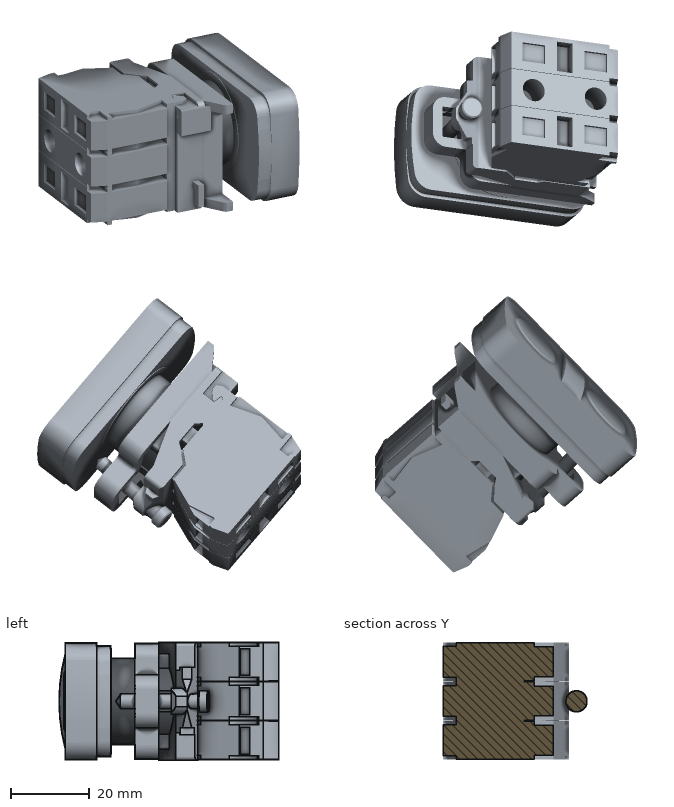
import cadquery as cq
import math


overall_height = 30.0

head_half_width = 24.75
cap_half_height = 14.85
cap_side_z = 10.45
cap_side_x = 24.15
corner_start_x = 19.25
flange_half_height = 14.1
flange_side_z = 10.3
flange_side_x = 23.75
flange_half_width = 24.7
flange_bulge_x = 24.25
flange_bulge_z = 6.9
cap_top_y = 26.4
flange_top_y = 18.4
flange_bottom_y = 14.8
seat_diameter = 26.8
seat_bottom_y = 14.65
barrel_diameter = 22.0
lens_half_width = 3.5
lens_half_length = 11.95
lens_top_y = 27.95
button_x = 13.15
button_base_diameter = 15.5
button_top_diameter = 13.65
button_rise = 0.35

plate_top_y = 8.65
plate_bottom_y = 2.55
plate_half_height = 14.7
plate_left_x = -13.85
plate_right_x = 16.5
plate_corner_radius = 3.6
tab_left_x = -23.75
tab_half_height = 6.7
tab_inner_radius = 0.95
tab_slot_left_x = -21.2
tab_slot_right_x = -14.65
tab_slot_half_height = 4.1
tab_slot_radius = 0.45
arm_end_x = 22.35
arm_nose_y = 6.75
arm_nose_chamfer = 0.55
arm_thickness = 2.45
arm_root_y = 2.75

cavity_depth = 3.2
cavity_left_x = -11.2
cavity_half_height = 11.7
cavity_flare_x = -12.3
cavity_flare_half_height = 5.05

collar_diameter = 22.9
collar_key_x = -11.5
collar_key_half_height = 2.7
shoulder_x = -7.75
shoulder_half_height = 12.15
shoulder_radius = 0.55

carrier_half_height = overall_height / 2
carrier_left_x = -16.45
carrier_right_x = 16.6
carrier_shelf_y = -1.75
carrier_bottom_y = -7.25
carrier_slope_start_x = -0.2
carrier_slope_end_x = -12.5
carrier_edge_radius = 1.0
clip_relief_half_height = 7.95
clip_relief_x = -14.55
clip_tip_x = -19.7
clip_tip_y = -4.7
clip_tip_top_y = -4.35
clip_foot_x = -15.25
carrier_step = [(-7.55, carrier_bottom_y), (-4.45, -4.15)]
ear_left_x = 11.2
ear_right_x = 18.6
ear_bottom_z = 6.9
ear_top_y = 4.2
ear_bottom_y = -4.25
ear_radius = 1.5
ear_hole_diameter = 1.5
ear_hole_x = 16.1
ear_hole_z = 11.55
ear_step_z = 14.05
lever_top_y = 1.5
lever_bottom_y = -0.05
lever_right_x = 20.0

boss_left_x = -20.4
boss_round_x = -17.4
boss_right_x = -11.2
boss_half_height = 3.3
boss_top_y = -0.6
boss_bottom_y = -4.7
boss_chamfer = 1.1
screw_diameter = 3.8
screw_head_diameter = 5.5
screw_head_length = 2.7
screw_head_chamfer = 0.35
screw_length = 23.7
screw_point_length = 1.25
screw_tilt = 4.5
screw_tip_x = -16.2
screw_tip_y = 13.45

module_count = 3
module_height = 9.95
block_half_width = 16.0
block_bottom_y = -27.95
block_bottom_half_width = 14.65
block_chamfer_y = -23.9
block_slope_y = -17.9
hook_left_x = 10.4
hook_right_x = 15.2
hook_root_y = -2.8
hook = [(hook_left_x, hook_root_y), (12.75, -0.5), (14.3, -0.5), (hook_right_x, -1.95)]
recess_top_y = 0.7
slit_width = 0.1
seam_width = 0.1
seam_depth = 2.55
notch_depth = 1.0
gap_depth = 1.1
gap_left_x = -12.3
gap_bottom_y = -8.05
pocket_pitch = 10.0
terminal_x = 8.5
terminal_width = 6.25
terminal_height = 5.0
terminal_depth = 0.85
center_slot_width = 4.25
center_slot_height = 7.95
center_slot_depth = 3.25
screw_hole_diameter = 6.0
screw_hole_depth = 8.4
side_window_top_y = -18.15
side_window_bottom_y = -20.55
side_window_height = 6.8
side_window_depth = 2.25
window_top_y = -2.7
window_bottom_y = -4.7
rib_half_width = 2.1
rib_recess = 1.3

block_top_z = carrier_half_height
module_faces = [block_top_z - i * module_height for i in range(module_count + 1)]
block_bottom_z = module_faces[-1]


def span(x0, x1, y0, y1, z0, z1):
    """Axis-aligned box between two corners."""
    return cq.Workplane("XY").box(x1 - x0, y1 - y0, z1 - z0, centered=False).translate((x0, y0, z0))


def plan_prism(points, z0, z1):
    """Prism of an XY outline from z0 up to z1."""
    return cq.Workplane("XY", origin=(0, 0, z0)).polyline(points).close().extrude(z1 - z0)


def facing(y):
    """Sketch plane across the barrel axis; it extrudes toward -Y."""
    return cq.Workplane("XZ", origin=(0, y, 0))


def corner_arc_middle(half_height, side_x, side_z):
    """Middle point of the corner arc that leaves the top edge tangentially."""
    run = side_x - corner_start_x
    drop = half_height - side_z
    radius = (run**2 + drop**2) / (2 * drop)
    half_angle = math.atan2(drop, run)
    return (
        corner_start_x + radius * math.sin(half_angle),
        half_height - radius * (1 - math.cos(half_angle)),
    )


def head_outline(y, half_height, crown_x, side_points):
    """Outline with bulged sides and round corners.

    side_points run from the end of a side's bulge to the start of its corner arc, which are the
    same point where no straight run lies between them.
    """
    mid_x, mid_z = corner_arc_middle(half_height, *side_points[-1])

    def straight_run(outline, x_sign, points):
        for x, z in points:
            outline = outline.lineTo(x_sign * x, z)
        return outline

    lower_points = [(x, -z) for x, z in side_points]
    bulge_x, bulge_z = side_points[0]
    side_x, side_z = side_points[-1]
    outline = facing(y).moveTo(-corner_start_x, half_height).lineTo(corner_start_x, half_height)
    outline = outline.threePointArc((mid_x, mid_z), (side_x, side_z))
    outline = straight_run(outline, 1, side_points[:-1][::-1])
    outline = outline.threePointArc((crown_x, 0), (bulge_x, -bulge_z))
    outline = straight_run(outline, 1, lower_points[1:])
    outline = outline.threePointArc((mid_x, -mid_z), (corner_start_x, -half_height))
    outline = outline.lineTo(-corner_start_x, -half_height)
    outline = outline.threePointArc((-mid_x, -mid_z), (-side_x, -side_z))
    outline = straight_run(outline, -1, lower_points[:-1][::-1])
    outline = outline.threePointArc((-crown_x, 0), (-bulge_x, bulge_z))
    outline = straight_run(outline, -1, side_points[1:])
    return outline.threePointArc((-mid_x, mid_z), (-corner_start_x, half_height)).close()


def make_lens():
    """Domed bar between the two buttons."""
    return (
        cq.Workplane("YZ", origin=(-lens_half_width, 0, 0))
        .moveTo(cap_top_y, -lens_half_length)
        .threePointArc((lens_top_y, 0), (cap_top_y, lens_half_length))
        .close()
        .extrude(2 * lens_half_width)
    )


def make_button(x):
    """Low button with a sloping rim."""
    return (
        facing(cap_top_y)
        .center(x, 0)
        .circle(button_base_diameter / 2)
        .workplane(offset=-button_rise)
        .circle(button_top_diameter / 2)
        .loft()
    )


def make_head():
    cap_side = [(cap_side_x, cap_side_z)]
    flange_side = [(flange_bulge_x, flange_bulge_z), (flange_side_x, flange_side_z)]
    cap = head_outline(cap_top_y, cap_half_height, head_half_width, cap_side)
    flange = head_outline(flange_top_y, flange_half_height, flange_half_width, flange_side)
    head = cap.extrude(cap_top_y - flange_top_y)
    head = head.union(flange.extrude(flange_top_y - flange_bottom_y))
    seat = facing(flange_bottom_y).circle(seat_diameter / 2)
    head = head.union(seat.extrude(flange_bottom_y - seat_bottom_y))
    barrel = facing(flange_bottom_y).circle(barrel_diameter / 2)
    head = head.union(barrel.extrude(flange_bottom_y - plate_bottom_y))
    head = head.union(make_lens())
    for side in (-1, 1):
        head = head.union(make_button(side * button_x))
    return head


def mirrored_outline(upper_points):
    """Closed XZ outline from its upper points, ordered from left to right."""
    return upper_points + [(x, -z) for x, z in reversed(upper_points)]


def make_cavity():
    """Hollow around the collar that flares out of the tab's slot."""
    outline = mirrored_outline(
        [
            (tab_slot_left_x, tab_slot_half_height),
            (tab_slot_right_x, tab_slot_half_height),
            (cavity_flare_x, cavity_flare_half_height),
            (cavity_left_x, cavity_half_height),
            (shoulder_x + shoulder_radius, cavity_half_height),
        ]
    )
    cavity = facing(plate_bottom_y + cavity_depth).polyline(outline).close().extrude(cavity_depth)
    return cavity.edges("|Y and <X").fillet(tab_slot_radius)


def make_tab_opening():
    """Tapered opening from the floor of the tab's slot through the plate."""
    outline = mirrored_outline([(-20.35, 3.2), (-18.65, 3.95), (tab_slot_right_x, 3.95)])
    return facing(plate_top_y).polyline(outline).close().extrude(plate_top_y - plate_bottom_y)


def make_plate():
    main = span(
        plate_left_x, plate_right_x, plate_bottom_y, plate_top_y, -plate_half_height, plate_half_height
    )
    tab = span(
        tab_left_x, plate_left_x, plate_bottom_y, plate_top_y, -tab_half_height, tab_half_height
    )
    plate = main.union(tab)
    inner_corners = cq.selectors.BoxSelector(
        (plate_left_x - 0.55, plate_bottom_y, -tab_half_height - 0.55),
        (plate_left_x + 0.55, plate_top_y, tab_half_height + 0.55),
    )
    outer_corners = cq.selectors.BoxSelector(
        (tab_left_x - 0.55, plate_bottom_y, -plate_half_height - 0.55),
        (plate_left_x + 0.55, plate_top_y, plate_half_height + 0.55),
    )
    plate = plate.edges("|Y").edges(inner_corners).fillet(tab_inner_radius)
    plate = plate.edges("|Y and (<X or (<Z or >Z))").edges(outer_corners).fillet(plate_corner_radius)
    plate = plate.cut(make_cavity()).cut(make_tab_opening())
    arm_outline = [
        (0, plate_bottom_y),
        (0, plate_top_y),
        (arm_end_x, plate_top_y),
        (arm_end_x, arm_nose_y),
        (arm_end_x - arm_nose_chamfer, arm_nose_y - arm_nose_chamfer),
        (plate_right_x, arm_root_y),
        (plate_right_x, plate_bottom_y),
    ]
    arm_inner_z = plate_half_height - arm_thickness
    plate = plate.union(plan_prism(arm_outline, arm_inner_z, plate_half_height))
    return plate.union(plan_prism(arm_outline, -plate_half_height, -arm_inner_z))


def make_collar():
    """Round collar with square shoulders that joins the plate to the carrier."""
    top_y = plate_bottom_y + cavity_depth
    collar = facing(top_y).circle(collar_diameter / 2).extrude(top_y - carrier_shelf_y)
    key = span(
        collar_key_x, 0, carrier_shelf_y, top_y, -collar_key_half_height, collar_key_half_height
    )
    shoulders = span(
        shoulder_x, 0, carrier_shelf_y, top_y, -shoulder_half_height, shoulder_half_height
    )
    return collar.union(key).union(shoulders.edges("|Y and <X").fillet(shoulder_radius))


def clip_lower_y(x):
    """Height of the slope from the carrier's bottom up to the clip's tip."""
    slope = (clip_tip_y - carrier_bottom_y) / (clip_tip_x - clip_foot_x)
    return carrier_bottom_y + slope * (x - clip_foot_x)


def make_carrier_frame():
    outline = [
        (carrier_slope_start_x, plate_bottom_y),
        (carrier_slope_end_x, carrier_shelf_y),
        (carrier_left_x, carrier_shelf_y),
        (carrier_left_x, clip_lower_y(carrier_left_x)),
        (clip_foot_x, carrier_bottom_y),
        *carrier_step,
        (carrier_right_x, ear_bottom_y),
        (carrier_right_x, plate_bottom_y),
    ]
    frame = plan_prism(outline, -carrier_half_height, carrier_half_height)
    frame = frame.faces("<X").edges("|Y").fillet(carrier_edge_radius)
    relief_outline = [
        (clip_relief_x, carrier_shelf_y),
        (clip_tip_x, clip_tip_top_y),
        (clip_tip_x, carrier_shelf_y),
    ]
    return frame.cut(plan_prism(relief_outline, -clip_relief_half_height, clip_relief_half_height))


def make_clip():
    """Wedge on the carrier's left end that narrows toward the screw."""
    wedge_outline = [
        (clip_tip_x, clip_tip_y),
        (clip_tip_x, clip_tip_top_y),
        (clip_relief_x, carrier_shelf_y),
        (clip_relief_x, carrier_bottom_y),
        (clip_foot_x, carrier_bottom_y),
    ]
    wedge = plan_prism(wedge_outline, -carrier_half_height, carrier_half_height)
    face = [
        (-14.8, 8.7),
        (-17.85, 8.7),
        (-17.85, 5.6),
        (clip_tip_x, 2.5),
        (clip_tip_x, -2.5),
        (-17.85, -6.7),
        (-16.7, -6.7),
        (-16.7, -8.55),
        (-14.8, -8.55),
    ]
    depth = carrier_shelf_y - carrier_bottom_y
    return wedge.intersect(facing(carrier_shelf_y).polyline(face).close().extrude(depth))


def make_ear():
    """Block on the carrier's right end with a rounded upper corner."""
    ear = span(ear_left_x, ear_right_x, ear_bottom_y, plate_bottom_y, ear_bottom_z, carrier_half_height)
    ear = ear.edges("|Y and >X and >Z").fillet(ear_radius)
    hole = facing(plate_bottom_y).center(ear_hole_x, ear_hole_z).circle(ear_hole_diameter / 2)
    ear = ear.cut(hole.extrude(plate_bottom_y - ear_bottom_y))
    root_top_z = carrier_half_height - ear_radius
    root = span(plate_right_x, ear_right_x, plate_bottom_y, ear_top_y, ear_bottom_z, root_top_z)
    return ear.union(root)


def make_lever():
    """L-shaped locking lever at the lower right of the carrier."""
    outline = [
        (14.0, -7.05),
        (lever_right_x, -7.05),
        (lever_right_x, -13.0),
        (18.15, -13.0),
        (18.15, -8.9),
        (14.0, -8.9),
    ]
    return facing(lever_top_y).polyline(outline).close().extrude(lever_top_y - lever_bottom_y)


def make_screw_boss():
    """Round-ended boss, cut flat at its tip, with the upper edge of the flat chamfered."""
    depth = boss_top_y - boss_bottom_y
    round_end = facing(boss_top_y).center(boss_round_x, 0).circle(boss_half_height).extrude(depth)
    bar = span(boss_round_x, boss_right_x, boss_bottom_y, boss_top_y, -boss_half_height, boss_half_height)
    side = [
        (boss_left_x, boss_bottom_y),
        (boss_left_x, boss_top_y - boss_chamfer),
        (boss_left_x + boss_chamfer, boss_top_y),
        (boss_right_x, boss_top_y),
        (boss_right_x, boss_bottom_y),
    ]
    return round_end.union(bar).intersect(plan_prism(side, -boss_half_height, boss_half_height))


def make_screw():
    """Pointed screw, revolved about Y and then tilted in the XY plane about its tip."""
    radius = screw_diameter / 2
    head_radius = screw_head_diameter / 2
    head_top = screw_head_length - screw_length
    half_profile = [
        (0, 0),
        (radius, -screw_point_length),
        (radius, head_top),
        (head_radius - screw_head_chamfer, head_top),
        (head_radius, head_top - screw_head_chamfer),
        (head_radius, screw_head_chamfer - screw_length),
        (head_radius - screw_head_chamfer, -screw_length),
        (0, -screw_length),
    ]
    screw = cq.Workplane("XY").polyline(half_profile).close().revolve(360, (0, 0, 0), (0, 1, 0))
    return screw.rotate((0, 0, 0), (0, 0, 1), -screw_tilt).translate((screw_tip_x, screw_tip_y, 0))


def make_blocks():
    """Stacked modules with a fine seam around each joint."""
    outline = [
        (-block_bottom_half_width, block_bottom_y),
        (-block_half_width, block_chamfer_y),
        (-block_half_width, block_slope_y),
        (-11.75, carrier_bottom_y),
        *carrier_step,
        *hook,
        (hook_right_x, -6.6),
        (block_half_width, -6.95),
        (block_half_width, block_chamfer_y),
        (block_bottom_half_width, block_bottom_y),
    ]
    blocks = plan_prism(outline, block_bottom_z, block_top_z)
    for seam_z in module_faces[1:-1]:
        plane = cq.Workplane("XY", origin=(0, 0, seam_z - seam_width / 2))
        slab = plane.polyline(outline).close().extrude(seam_width)
        core = plane.polyline(outline).close().offset2D(-seam_depth).extrude(seam_width)
        blocks = blocks.cut(slab.cut(core))
    return blocks


def cut_at_module_faces(body, outline, depth):
    """Sink an XY outline by a depth on both sides of every module face."""
    for z in module_faces:
        body = body.cut(plan_prism(outline, z - depth, z + depth))
    return body


def cut_side_notches(body):
    left_notch = [
        (-15.0, -15.2),
        (-13.6, -22.4),
        (-13.85, -22.75),
        (-block_half_width, -22.75),
        (-block_half_width - 0.55, block_slope_y),
    ]
    right_notch = [
        (12.3, -6.65),
        (15.05, -14.9),
        (13.6, -22.4),
        (13.85, -22.75),
        (block_half_width, -22.75),
        (block_half_width, -6.65),
    ]
    foot_notch = [
        (11.0, block_chamfer_y),
        (block_half_width, block_chamfer_y),
        (block_half_width, block_bottom_y),
        (12.3, block_bottom_y),
        (12.45, -27.4),
        (12.0, -26.9),
        (11.0, -26.65),
    ]
    for notch in (left_notch, right_notch, foot_notch):
        body = cut_at_module_faces(body, notch, notch_depth)
    return body


def cut_front_pockets(body):
    front = facing(block_bottom_y)
    for z in (-pocket_pitch, pocket_pitch):
        terminals = front.pushPoints([(-terminal_x, z), (terminal_x, z)])
        body = body.cut(terminals.rect(terminal_width, terminal_height).extrude(-terminal_depth))
        slot = front.center(0, z).rect(center_slot_width, center_slot_height)
        body = body.cut(slot.extrude(-center_slot_depth))
    holes = front.pushPoints([(-terminal_x, 0), (terminal_x, 0)]).circle(screw_hole_diameter / 2)
    return body.cut(holes.extrude(-screw_hole_depth))


def cut_side_windows(body):
    for z in (-pocket_pitch, 0, pocket_pitch):
        body = body.cut(
            span(
                -block_half_width,
                -block_half_width + side_window_depth,
                side_window_bottom_y,
                side_window_top_y,
                z - side_window_height / 2,
                z + side_window_height / 2,
            )
        )
    return body


def cut_hook_recess(body):
    """Sunken face of the ear around the block's hook, and the slit under the hook."""
    outline = [
        (hook_left_x, recess_top_y),
        (ear_right_x, recess_top_y),
        (ear_right_x, ear_bottom_y),
        (hook_right_x, ear_bottom_y),
        *reversed(hook),
    ]
    slit = [
        (hook_left_x, hook_root_y),
        (12.8, -3.35),
        (12.8, -3.85),
        (12.3, -4.35),
        (12.2, -4.3),
        (12.7, -3.8),
        (12.7, -3.45),
        (hook_left_x, hook_root_y - slit_width),
    ]
    for cutout in (outline, slit):
        body = body.cut(plan_prism(cutout, ear_step_z, carrier_half_height))
    return body


def cut_middle_window(body):
    """Opening right through in Z, bridged by a recessed rib."""
    outline = [
        (-4.5, -4.2),
        (-3.4, window_top_y),
        (2.85, window_top_y),
        (4.3, -4.3),
        (3.9, window_bottom_y),
        (-3.9, window_bottom_y),
    ]
    window = plan_prism(outline, -carrier_half_height, carrier_half_height)
    rib_top = carrier_half_height - rib_recess
    rib = span(-rib_half_width, rib_half_width, window_bottom_y, window_top_y, -rib_top, rib_top)
    return body.cut(window.cut(rib))


def cut_carrier_gap(body):
    """Narrow gap from the left side of the blocks up to the middle window."""
    outline = [
        (gap_left_x, carrier_bottom_y),
        carrier_step[0],
        (-4.5, -4.2),
        (-3.9, -4.35),
        (-7.2, gap_bottom_y),
        (gap_left_x, gap_bottom_y),
    ]
    return cut_at_module_faces(body, outline, gap_depth)


def make_base():
    blocks = cut_side_notches(make_blocks())
    blocks = cut_front_pockets(blocks)
    blocks = cut_side_windows(blocks)
    base = make_carrier_frame().union(make_ear()).union(blocks)
    base = cut_hook_recess(base)
    base = cut_middle_window(base)
    base = cut_carrier_gap(base)
    base = base.union(make_collar()).union(make_plate())
    base = base.union(make_clip()).union(make_screw_boss()).union(make_lever())
    base = base.union(make_screw())
    socket = facing(plate_top_y).circle(barrel_diameter / 2)
    return base.cut(socket.extrude(plate_top_y - plate_bottom_y))


head = make_head()
base = make_base()

result = cq.Compound.makeCompound([head.solids().val(), base.solids().val()])